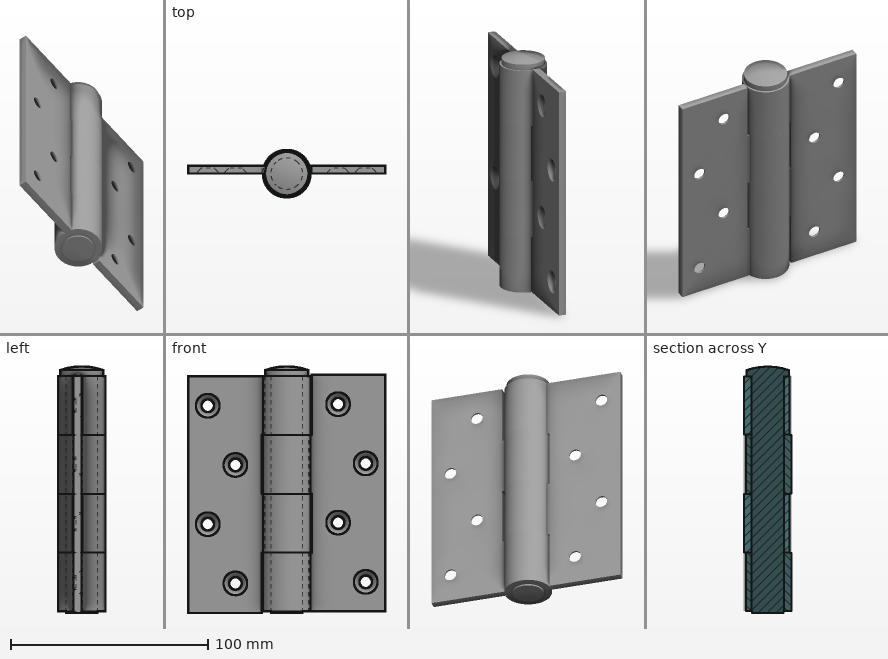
import cadquery as cq

HINGE_WIDTH = 100.0
HINGE_HEIGHT = 125.0

LEAF_HEIGHT = 120.0
LEAF_THICKNESS = 4.0
LEAF_FRONT_Y = 0.06
LEAF_OFFSET = 0.8

KNUCKLE_DIAMETER = 24.1
KNUCKLE_COUNT = 4
KNUCKLE_CLEARANCE = 0.5
SLOT_CLEARANCE = 0.5
SLOT_FLOOR_X = 11.1

PIN_DIAMETER = 16.0
HEAD_DIAMETER = 22.0
DOME_HEIGHT = 2.0

SCREW_DIAMETER = 6.2
COUNTERSINK_DIAMETER = 12.0
COUNTERSINK_ANGLE = 90.0
SCREW_COUNT = 4
SCREW_PITCH = LEAF_HEIGHT / SCREW_COUNT
OUTER_SCREW_X = 40.0
INNER_SCREW_X = 26.0

KNUCKLE_HEIGHT = (LEAF_HEIGHT - LEAF_OFFSET) / KNUCKLE_COUNT
KNUCKLE_RADIUS = KNUCKLE_DIAMETER / 2
PIN_RADIUS = PIN_DIAMETER / 2
LEAF_BACK_Y = LEAF_FRONT_Y + LEAF_THICKNESS
NOTCH_EDGE_X = KNUCKLE_RADIUS + KNUCKLE_CLEARANCE


def block(x_start, x_end, y_start, y_end, z_start, z_end):
    """Axis-aligned box between the given limits."""
    return cq.Workplane("XY").box(
        x_end - x_start, y_end - y_start, z_end - z_start, centered=False
    ).translate((x_start, y_start, z_start))


def cylinder(diameter, z_start, height):
    """Round bar on the pin axis."""
    return cq.Workplane("XY").workplane(offset=z_start).circle(diameter / 2).extrude(height)


def make_plate():
    """Flat plate at -X that stops clear of the opposite leaf's knuckles."""
    return block(-HINGE_WIDTH / 2, -NOTCH_EDGE_X, LEAF_FRONT_Y, LEAF_BACK_Y, 0, LEAF_HEIGHT)


def make_knuckle(z_start):
    """Bored knuckle with a shallow slot, and the bridge that joins the slot floor to the plate."""
    z_end = z_start + KNUCKLE_HEIGHT
    barrel = cylinder(KNUCKLE_DIAMETER, z_start, KNUCKLE_HEIGHT)
    bridge = block(-NOTCH_EDGE_X, -PIN_RADIUS, LEAF_FRONT_Y, LEAF_BACK_Y, z_start, z_end)
    bore = cylinder(PIN_DIAMETER, z_start, KNUCKLE_HEIGHT)
    slot = block(
        -NOTCH_EDGE_X, -SLOT_FLOOR_X,
        LEAF_FRONT_Y - SLOT_CLEARANCE, LEAF_BACK_Y + SLOT_CLEARANCE,
        z_start, z_end,
    )
    return barrel.cut(slot).union(bridge).cut(bore)


def cut_screw_holes(leaf):
    """Staggered screw holes, countersunk from the front face (-Y)."""
    hole_points = []
    for row in range(SCREW_COUNT):
        x = -INNER_SCREW_X if row % 2 == 0 else -OUTER_SCREW_X
        hole_points.append((x, (row + 0.5) * SCREW_PITCH))
    return (
        leaf.copyWorkplane(cq.Workplane("XZ", origin=(0, LEAF_FRONT_Y, 0)))
        .pushPoints(hole_points)
        .cskHole(SCREW_DIAMETER, COUNTERSINK_DIAMETER, COUNTERSINK_ANGLE)
    )


def make_leaf():
    """Leaf at -X: plate plus every second knuckle, counted down from the top."""
    leaf = make_plate()
    for index in range(0, KNUCKLE_COUNT, 2):
        leaf = leaf.union(make_knuckle(LEAF_HEIGHT - (index + 1) * KNUCKLE_HEIGHT))
    return cut_screw_holes(leaf)


def make_pin():
    """Pin with a cylindrical head and a shallow domed top, resting on the top knuckle."""
    head_radius = HEAD_DIAMETER / 2
    dome_radius = (head_radius**2 + DOME_HEIGHT**2) / (2 * DOME_HEIGHT)
    shank = cylinder(PIN_DIAMETER, 0, LEAF_HEIGHT)
    head = cylinder(HEAD_DIAMETER, LEAF_HEIGHT, HINGE_HEIGHT - LEAF_HEIGHT)
    dome = cq.Workplane("XY").sphere(dome_radius).translate((0, 0, HINGE_HEIGHT - dome_radius))
    return shank.union(head.intersect(dome))


leaf_center_z = (LEAF_HEIGHT + LEAF_OFFSET) / 2
left_leaf = make_leaf()
right_leaf = make_leaf().rotate((0, 0, leaf_center_z), (0, 1, leaf_center_z), 180)
pin = make_pin()

result = cq.Compound.makeCompound([left_leaf.val(), right_leaf.val(), pin.val()])